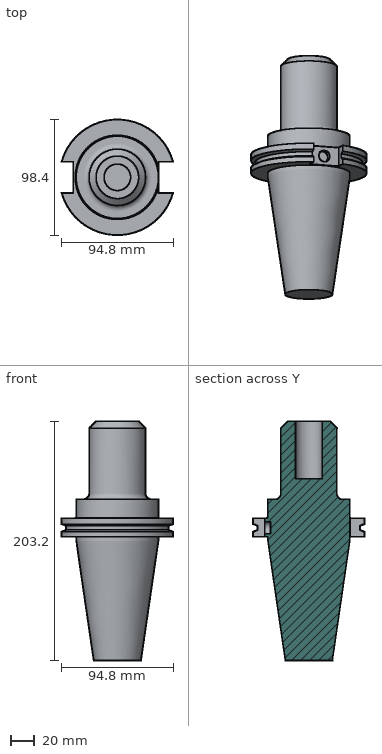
import cadquery as cq
import math

TAPER_LENGTH = 101.5
FLANGE_BOTTOM = 104.9
FLANGE_TOP = 121.0
COLLAR_TOP = 137.0
TOTAL_HEIGHT = 203.2

TAPER_RATIO = 7 / 24
GAUGE_RADIUS = 35.0
TAPER_END_RADIUS = GAUGE_RADIUS - TAPER_LENGTH * TAPER_RATIO / 2
FLANGE_RADIUS = 49.2
COLLAR_RADIUS = 35.0
NECK_RADIUS = 24.0

RING_RADIUS = 35.8
RING_HEIGHT = 0.5
NECK_FILLET = 4.9
NOSE_CHAMFER = 5.9

GROOVE_MIDDLE = 112.5
GROOVE_FLOOR_RADIUS = 45.5
GROOVE_FLOOR_WIDTH = 3.5
GROOVE_MOUTH_WIDTH = 6.5

SLOT_WIDTH = 26.2
LEFT_SLOT_FLOOR = 37.5
RIGHT_SLOT_FLOOR = 35.2
SLOT_HOLE_DIAMETER = 9.8
SLOT_HOLE_DEPTH = 4.9

BORE_DIAMETER = 22.5
BORE_DEPTH = 48.8


def make_body():
    """Revolve taper, flange, collar and neck as one profile (radius, height)."""
    fillet_top = COLLAR_TOP + NECK_FILLET
    fillet_outer = NECK_RADIUS + NECK_FILLET
    fillet_offset = NECK_FILLET * (1 - math.sqrt(0.5))
    return (
        cq.Workplane("XZ")
        .lineTo(TAPER_END_RADIUS, 0)
        .lineTo(GAUGE_RADIUS, TAPER_LENGTH)
        .lineTo(GAUGE_RADIUS, FLANGE_BOTTOM)
        .lineTo(FLANGE_RADIUS, FLANGE_BOTTOM)
        .lineTo(FLANGE_RADIUS, FLANGE_TOP)
        .lineTo(RING_RADIUS, FLANGE_TOP)
        .lineTo(RING_RADIUS, FLANGE_TOP + RING_HEIGHT)
        .lineTo(COLLAR_RADIUS, FLANGE_TOP + RING_HEIGHT)
        .lineTo(COLLAR_RADIUS, COLLAR_TOP)
        .lineTo(fillet_outer, COLLAR_TOP)
        .threePointArc(
            (NECK_RADIUS + fillet_offset, COLLAR_TOP + fillet_offset),
            (NECK_RADIUS, fillet_top),
        )
        .lineTo(NECK_RADIUS, TOTAL_HEIGHT - NOSE_CHAMFER)
        .lineTo(NECK_RADIUS - NOSE_CHAMFER, TOTAL_HEIGHT)
        .lineTo(0, TOTAL_HEIGHT)
        .close()
        .revolve(360, (0, 0), (0, 1))
    )


def make_groove():
    """Ring with a trapezoidal section, narrowing towards its floor."""
    half_floor = GROOVE_FLOOR_WIDTH / 2
    half_mouth = GROOVE_MOUTH_WIDTH / 2
    section = [
        (GROOVE_FLOOR_RADIUS, GROOVE_MIDDLE - half_floor),
        (FLANGE_RADIUS, GROOVE_MIDDLE - half_mouth),
        (FLANGE_RADIUS, GROOVE_MIDDLE + half_mouth),
        (GROOVE_FLOOR_RADIUS, GROOVE_MIDDLE + half_floor),
    ]
    return cq.Workplane("XZ").polyline(section).close().revolve(360, (0, 0), (0, 1))


def make_slot(side, floor_distance):
    """Drive slot on the +X (side=1) or -X (side=-1) edge of the flange."""
    depth = FLANGE_RADIUS - floor_distance
    height = FLANGE_TOP + RING_HEIGHT - FLANGE_BOTTOM
    return (
        cq.Workplane("XY", origin=(0, 0, FLANGE_BOTTOM))
        .center(side * (floor_distance + depth / 2), 0)
        .rect(depth, SLOT_WIDTH)
        .extrude(height)
    )


def make_slot_hole():
    """Blind hole running in +X from the floor of the -X slot."""
    start = (-LEFT_SLOT_FLOOR, 0, GROOVE_MIDDLE)
    return cq.Workplane("YZ", origin=start).circle(SLOT_HOLE_DIAMETER / 2).extrude(SLOT_HOLE_DEPTH)


def make_bore():
    """Blind tool bore, open at the nose."""
    top = (0, 0, TOTAL_HEIGHT)
    return cq.Workplane("XY", origin=top).circle(BORE_DIAMETER / 2).extrude(-BORE_DEPTH)


result = (
    make_body()
    .cut(make_groove())
    .cut(make_slot(-1, LEFT_SLOT_FLOOR))
    .cut(make_slot(1, RIGHT_SLOT_FLOOR))
    .cut(make_slot_hole())
    .cut(make_bore())
)